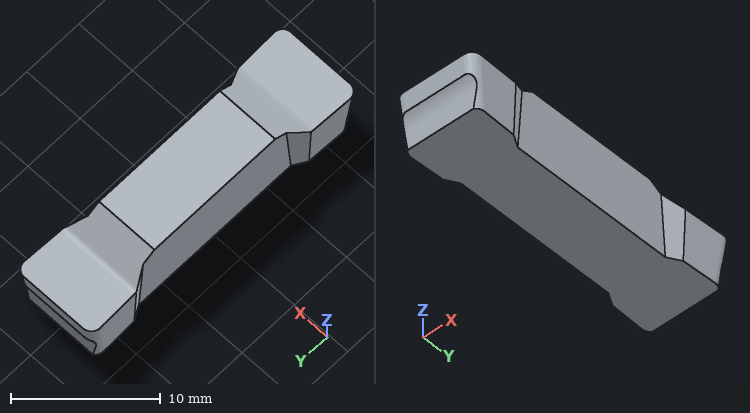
import cadquery as cq
import math

LENGTH = 25.6
HEIGHT = 6.15
BODY_WIDTH = 5.2

HEAD_WIDTH = 7.15
LAND_HEIGHT = 4.65
CORNER_RADIUS = 0.82
SHOULDER_SETBACK = 4.43
END_RELIEF = 7
SIDE_RELIEF = 2.8
BACK_TAPER = 2.2
NECK_ANGLE = 30

RAMP_ANGLE = 30
RAMP_RUN = (HEIGHT - LAND_HEIGHT) / math.tan(math.radians(RAMP_ANGLE))
RAMP_TOP_SETBACK = 7.0
RAMP_FILLET = 1.0

RECESS_DEPTH = 0.72
RECESS_TOP = 2.97
RECESS_ARC_BOTTOM = 1.8

HALF_LENGTH = LENGTH / 2


def tangent(degrees):
    return math.tan(math.radians(degrees))


def head_section(z):
    """Rounded plan outline of the +Y head and its neck at height z."""
    drop = LAND_HEIGHT - z
    end_y = HALF_LENGTH - drop * tangent(END_RELIEF)
    tangent_y = end_y - CORNER_RADIUS
    shoulder_y = HALF_LENGTH - SHOULDER_SETBACK
    widest = HEAD_WIDTH / 2 - drop * tangent(SIDE_RELIEF)
    shoulder = widest - (tangent_y - shoulder_y) * tangent(BACK_TAPER)
    body = BODY_WIDTH / 2
    neck_y = shoulder_y - (shoulder - body) / tangent(NECK_ANGLE)
    flat = widest - CORNER_RADIUS
    diagonal = CORNER_RADIUS * math.sqrt(0.5)
    return (
        cq.Workplane("XY", origin=(0, 0, z))
        .moveTo(-body, neck_y)
        .lineTo(-shoulder, shoulder_y)
        .lineTo(-widest, tangent_y)
        .threePointArc((-flat - diagonal, tangent_y + diagonal), (-flat, end_y))
        .lineTo(flat, end_y)
        .threePointArc((flat + diagonal, tangent_y + diagonal), (widest, tangent_y))
        .lineTo(shoulder, shoulder_y)
        .lineTo(body, neck_y)
        .close()
        .val()
    )


def make_head():
    """Tapered +Y head, extended up to full height before trimming."""
    return cq.Workplane(cq.Solid.makeLoft([head_section(0), head_section(HEIGHT)], True))


def make_side_profile():
    """Side silhouette with lowered lands, ramps and end recesses."""
    beyond = HALF_LENGTH + 2.55
    ramp_top = HALF_LENGTH - RAMP_TOP_SETBACK
    ramp_foot = ramp_top + RAMP_RUN
    profile = (
        cq.Workplane("YZ")
        .polyline([
            (-beyond, 0), (beyond, 0), (beyond, LAND_HEIGHT), (ramp_foot, LAND_HEIGHT),
            (ramp_top, HEIGHT), (-ramp_top, HEIGHT), (-ramp_foot, LAND_HEIGHT), (-beyond, LAND_HEIGHT),
        ])
        .close()
        .extrude(HEAD_WIDTH, both=True)
    )
    for y in (-ramp_foot, ramp_foot):
        foot_edge = cq.selectors.NearestToPointSelector((0, y, LAND_HEIGHT))
        profile = profile.edges("|X").edges(foot_edge).fillet(RAMP_FILLET)
    return profile


def make_recess():
    """Cutter below the +Y end edge; its arc runs tangent into the upright lower wall."""
    wall_y = HALF_LENGTH - RECESS_DEPTH
    top_y = HALF_LENGTH - (LAND_HEIGHT - RECESS_TOP) * tangent(END_RELIEF)
    across = top_y - wall_y
    rise = RECESS_TOP - RECESS_ARC_BOTTOM
    radius = (across**2 + rise**2) / (2 * across)
    half_sweep = math.asin(rise / radius) / 2
    arc_middle = (
        wall_y + radius * (1 - math.cos(half_sweep)),
        RECESS_ARC_BOTTOM + radius * math.sin(half_sweep),
    )
    return (
        cq.Workplane("YZ")
        .moveTo(wall_y, 0)
        .lineTo(wall_y, RECESS_ARC_BOTTOM)
        .threePointArc(arc_middle, (top_y, RECESS_TOP))
        .lineTo(HALF_LENGTH, RECESS_TOP)
        .lineTo(HALF_LENGTH, 0)
        .close()
        .extrude(HEAD_WIDTH, both=True)
    )


bar_length = LENGTH - 2 * SHOULDER_SETBACK
bar = cq.Workplane("XY").box(BODY_WIDTH, bar_length, HEIGHT, centered=(True, True, False))
head = make_head().cut(make_recess())
opposite_head = head.rotate((0, 0, 0), (0, 0, 1), 180)

result = bar.union(head).union(opposite_head).intersect(make_side_profile())